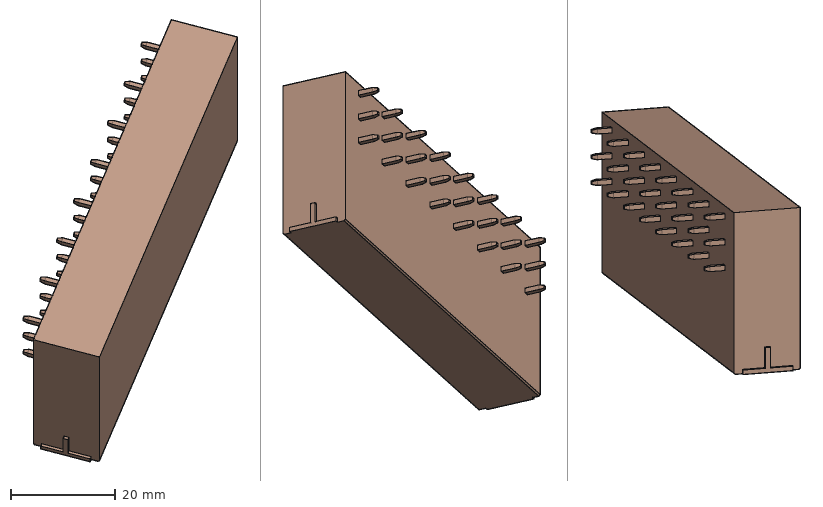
import cadquery as cq

body_depth = 13.4
body_length = 83.12
body_height = 32.0
bottom_chamfer = 0.3

pin_length = 4.0
pin_width = 1.0
pin_tip_width = 0.6
pin_tip_length = 1.0
pin_columns = 8
pin_rows = 3
column_pitch = 10.16
row_pitch = 5.08
top_row_inset = 2.08

key_thickness = 0.6
key_bar_width = 10.0
key_bar_height = 0.9
key_stem_width = 1.0
key_height = 5.0


def make_body():
    """Block with its two long bottom edges chamfered."""
    block = cq.Workplane("XY").box(
        body_depth, body_length, body_height, centered=(False, True, False)
    )
    return block.faces("<Z").edges("|Y").chamfer(bottom_chamfer)


def make_pin(y, z):
    """Pin pointing towards -X from the face at X = 0."""
    shank_length = pin_length - pin_tip_length
    base = cq.Workplane("YZ", origin=(0, y, z))
    shank = base.rect(pin_width, pin_width).extrude(-shank_length)
    tip = (
        cq.Workplane("YZ", origin=(-shank_length, y, z))
        .rect(pin_width, pin_width)
        .workplane(offset=-pin_tip_length)
        .rect(pin_tip_width, pin_tip_width)
        .loft(ruled=True)
    )
    return shank.union(tip)


def make_key(side):
    """Key on the end face at the given side: +1 for +Y, -1 for -Y."""
    centre_x = body_depth / 2
    centre_y = side * (body_length + key_thickness) / 2
    place = cq.Workplane("XY", origin=(centre_x, centre_y, 0))
    upright = (True, True, False)
    bar = place.box(key_bar_width, key_thickness, key_bar_height, centered=upright)
    stem = place.box(key_stem_width, key_thickness, key_height, centered=upright)
    return bar.union(stem)


result = make_body()
for column in range(pin_columns):
    pin_y = (column - (pin_columns - 1) / 2) * column_pitch
    for row in range(pin_rows):
        pin_z = body_height - top_row_inset - row * row_pitch
        result = result.union(make_pin(pin_y, pin_z))
for side in (1, -1):
    result = result.union(make_key(side))